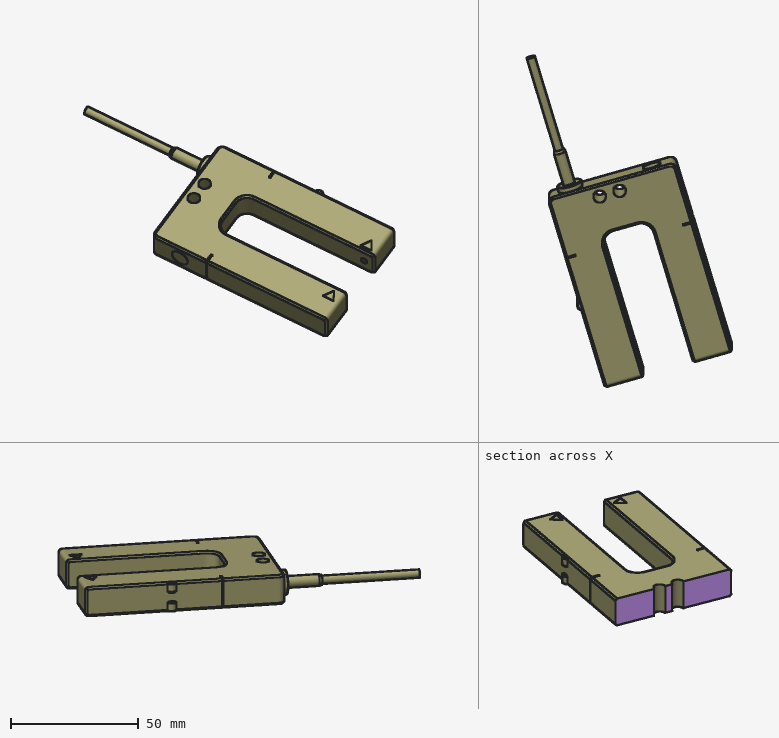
import cadquery as cq
import math


total_length = 135.2
housing_length = 80.0
housing_width = 52.0
housing_height = 12.0
edge_chamfer = 0.8
back_corner_radius = 2.5
tip_fillet_radius = 1.6

gap_width = 20.0
gap_depth = 60.0
gap_corner_radius = 5.0

mounting_hole_diameter = 4.9
mounting_hole_x = 4.9
mounting_hole_ys = (-2.0, 6.1)

slit_x = 25.0
slit_width = 0.5
slit_depth = 4.0

bump_x = 45.3
bump_radius = 2.0
bump_projection = 1.1
bump_gap = 3.5
bump_top_drop = 0.3
bump_outer_chamfer = 0.3
bump_inner_chamfer = 0.7

mark_depth = 0.1
disc_diameter = 7.2
side_disc_x = 12.8
arrow_x = 74.9
arrow_side = 4.9
upper_arrow_base_y = 12.0
lower_arrow_base_y = -16.5
lens_diameter = 2.7
lens_x = 75.2

cable_y = 16.5
cable_diameter = 3.4
sleeve_diameter = 4.7
sleeve_length = 14.2
sleeve_end_taper = 1.2
sleeve_end_diameter = 3.9
flange_diameter = 9.9
flange_thickness = 2.2
flange_chamfer = 0.3

half_width = housing_width / 2
half_height = housing_height / 2
cable_length = total_length - housing_length


def fork_blank():
    """U-shaped plate, open towards +X, with rounded arm tips and chamfered side edges."""
    plate = (
        cq.Workplane("XY")
        .box(housing_length, housing_width, housing_height, centered=(False, True, True))
        .edges("|Z and <X")
        .fillet(back_corner_radius)
    )
    gap = (
        cq.Workplane("XY")
        .box(gap_depth, gap_width, housing_height, centered=(False, True, True))
        .edges("|Z and <X")
        .fillet(gap_corner_radius)
        .translate((housing_length - gap_depth, 0, 0))
    )
    fork = plate.cut(gap).edges("|Y and >X").fillet(tip_fillet_radius)
    return fork.faces("|Z").edges("not >X").chamfer(edge_chamfer)


def mounting_holes():
    return (
        cq.Workplane("XY", origin=(0, 0, -half_height))
        .pushPoints([(mounting_hole_x, y) for y in mounting_hole_ys])
        .circle(mounting_hole_diameter / 2)
        .extrude(housing_height)
    )


def side_slits():
    """One slit through the full height in each long side."""
    return (
        cq.Workplane("XY")
        .pushPoints([(slit_x, half_width), (slit_x, -half_width)])
        .box(slit_width, 2 * slit_depth, housing_height)
    )


def indicator_bump():
    """Upper bump; its inner end, next to the gap between the bumps, has the larger chamfer."""
    bottom_z = bump_gap / 2
    top_z = half_height - bump_top_drop
    axis_y = half_width + bump_projection - bump_radius
    return (
        cq.Workplane("XY", origin=(bump_x, axis_y, bottom_z))
        .circle(bump_radius)
        .extrude(top_z - bottom_z)
        .faces(">Z")
        .edges()
        .chamfer(bump_outer_chamfer)
        .faces("<Z")
        .edges()
        .chamfer(bump_inner_chamfer)
    )


def disc_marks():
    """Round marks in the back face and in the -Y side."""
    back_disc = (
        cq.Workplane("YZ", origin=(0, -cable_y, 0))
        .circle(disc_diameter / 2)
        .extrude(mark_depth)
    )
    side_disc = (
        cq.Workplane("XZ", origin=(side_disc_x, -half_width, 0))
        .circle(disc_diameter / 2)
        .extrude(-mark_depth)
    )
    return back_disc.add(side_disc)


def lens_mark():
    """Round lens recess in the inner face of the +Y arm."""
    return (
        cq.Workplane("XZ", origin=(lens_x, gap_width / 2, 0))
        .circle(lens_diameter / 2)
        .extrude(-mark_depth)
    )


def arrow_mark(base_y):
    """Triangular recess in the top face, pointing to +Y."""
    arrow_height = arrow_side * math.sqrt(3) / 2
    return (
        cq.Workplane("XY", origin=(arrow_x, base_y, half_height))
        .moveTo(-arrow_side / 2, 0)
        .lineTo(arrow_side / 2, 0)
        .lineTo(0, arrow_height)
        .close()
        .extrude(-mark_depth)
    )


def make_housing():
    housing = fork_blank()
    upper_bump = indicator_bump()
    lower_bump = upper_bump.mirror("XY")
    housing = housing.union(upper_bump).union(lower_bump)
    housing = housing.cut(mounting_holes()).cut(side_slits())
    for mark in disc_marks().vals():
        housing = housing.cut(cq.Workplane(mark))
    housing = housing.cut(lens_mark())
    for base_y in (upper_arrow_base_y, lower_arrow_base_y):
        housing = housing.cut(arrow_mark(base_y))
    return housing


def make_cable():
    """Cable, sleeve and flange turned about one axis along X."""
    cable_radius = cable_diameter / 2
    sleeve_radius = sleeve_diameter / 2
    sleeve_end_radius = sleeve_end_diameter / 2
    flange_radius = flange_diameter / 2
    sleeve_end_x = -flange_thickness - sleeve_length
    return (
        cq.Workplane("XY", origin=(0, cable_y, 0))
        .moveTo(0, 0)
        .lineTo(0, flange_radius)
        .lineTo(flange_chamfer - flange_thickness, flange_radius)
        .lineTo(-flange_thickness, flange_radius - flange_chamfer)
        .lineTo(-flange_thickness, sleeve_radius)
        .lineTo(sleeve_end_x + sleeve_end_taper, sleeve_radius)
        .lineTo(sleeve_end_x, sleeve_end_radius)
        .lineTo(sleeve_end_x, cable_radius)
        .lineTo(-cable_length, cable_radius)
        .lineTo(-cable_length, 0)
        .close()
        .revolve(360, (0, 0, 0), (1, 0, 0))
    )


housing = make_housing()
cable = make_cable()

result = cq.Compound.makeCompound([housing.val(), cable.val()])